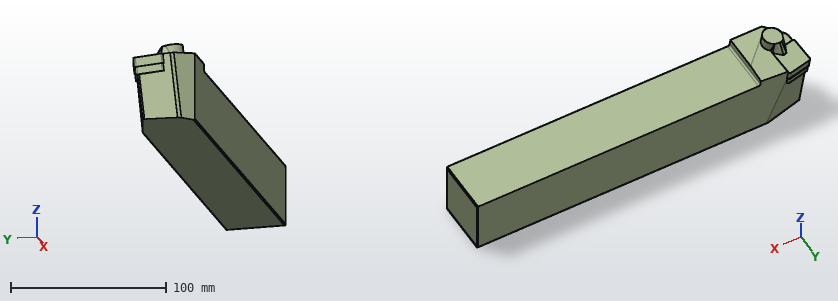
import cadquery as cq
import math

length = 250.0
width = 40.0
shank_height = 40.0
head_height = 45.0
shoulder_top_x = 38.5
shoulder_foot_x = 39.2
shoulder_fillet = 1.5
bottom_chamfer = 0.8
end_chamfer = 0.8

seat_slope = 0.092
seat_line_offset = 12.5
seat_normal = cq.Vector(-seat_slope, seat_slope, 1)
seat_x_axis = cq.Vector(1, 0, seat_slope)

corner_x = -0.08
corner_y = 37.0
insert_circle = 19.05
insert_acute_angle = 80.0
insert_edge_angle = 15.0
insert_thickness = 6.2
insert_nose = 1.2
insert_edge = insert_circle / math.sin(math.radians(insert_acute_angle))

shim_thickness = 5.0
shim_inset = 0.38

west_flank_start = (1.5, -2.2)
bevel_width = 0.5
bevel_height = 1.2
west_flank_length = 21.5
corner_bevel_angle = -66.0
diagonal_x = 15.2

clamp_x = 16.5
clamp_y = 14.5
clamp_radius = 6.8
clamp_height = 7.0
clamp_root = 2.5
finger_foot = [(-6.8, 0), (-6.8, 7.2), (-5.0, 11.5), (-2.2, 12.5), (3.5, 8.0), (3.5, 0)]
finger_top = [(-6.8, 0), (-5.2, 5.2), (-3.2, 6.5), (-1.5, 7.0), (2.0, 6.5), (3.5, 0)]

beyond = 100.0


def seat_z(x, y):
    return head_height - seat_slope * (y - x + seat_line_offset)


def seat_plane(x, y):
    """Workplane in the seat, with its origin above the point (x, y)."""
    return cq.Workplane(cq.Plane((x, y, seat_z(x, y)), seat_x_axis, seat_normal))


def polar(distance, angle):
    return (distance * math.cos(math.radians(angle)), distance * math.sin(math.radians(angle)))


def rhombus(inset, depth):
    """Rhombic plate from the seat down to the given depth, with rounded corners."""
    reach = insert_edge / 2
    first = polar(reach, insert_edge_angle)
    second = polar(reach, insert_edge_angle - 180 + insert_acute_angle)
    center_x = first[0] + second[0]
    center_y = first[1] + second[1]
    scale = 1 - 2 * inset / insert_circle
    corners = []
    for i, j in [(-1, -1), (1, -1), (1, 1), (-1, 1)]:
        x = center_x + scale * (i * first[0] + j * second[0])
        y = center_y + scale * (i * first[1] + j * second[1])
        corners.append((x, y))
    plate = seat_plane(corner_x, corner_y).polyline(corners).close().extrude(-depth)
    return plate.edges(cq.selectors.ParallelDirSelector(seat_normal)).fillet(insert_nose)


def make_block():
    """Shank with its raised head, before the head is shaped."""
    profile = [
        (-seat_line_offset, 0),
        (length, 0),
        (length, shank_height),
        (shoulder_foot_x, shank_height),
        (shoulder_top_x, head_height),
        (-seat_line_offset, head_height),
    ]
    block = cq.Workplane("XZ").polyline(profile).close().extrude(-width)
    shoulder_foot = cq.selectors.NearestToPointSelector((shoulder_foot_x, width / 2, shank_height))
    block = block.edges(shoulder_foot).fillet(shoulder_fillet)
    block = block.faces(">X").edges().chamfer(end_chamfer)
    return block.faces("<Z").edges("|X").chamfer(bottom_chamfer)


def make_head_limits():
    """Leaning prism, square to the seat, that bounds the sides of the head."""
    west = polar(west_flank_length, insert_edge_angle - 180 + insert_acute_angle)
    west_end = (west_flank_start[0] + west[0], west_flank_start[1] + west[1])
    bevel = polar(beyond, corner_bevel_angle)
    bevel_start = (west_flank_start[0] + bevel_width, west_flank_start[1] + bevel_height)
    edge = polar(length + beyond, insert_edge_angle)
    outline = [
        west_flank_start,
        bevel_start,
        (bevel_start[0] + edge[0], bevel_start[1] + edge[1]),
        (length + beyond, west_end[1] + bevel[1]),
        (west_end[0] + bevel[0], west_end[1] + bevel[1]),
        west_end,
    ]
    return seat_plane(corner_x, corner_y).polyline(outline).close().extrude(2 * beyond, both=True)


def make_corner_cut():
    return (
        cq.Workplane("XY")
        .polyline([(diagonal_x + beyond, -beyond), (diagonal_x - beyond, beyond), (-beyond, -beyond)])
        .close()
        .extrude(beyond)
    )


def make_above_seat():
    """Everything above the seat over the head."""
    slab = seat_plane(0, 0).rect(2 * beyond, 2 * beyond).extrude(beyond)
    over_head = cq.Workplane("XY").box(beyond + shoulder_foot_x, beyond, beyond, centered=False)
    return slab.intersect(over_head.translate((-beyond, (width - beyond) / 2, 0)))


def make_clamp():
    seat = seat_plane(clamp_x, clamp_y)
    disc = seat.workplane(offset=-clamp_root).circle(clamp_radius).extrude(clamp_height + clamp_root)
    foot = seat.polyline(finger_foot).close()
    finger = foot.workplane(offset=clamp_height).polyline(finger_top).close().loft(ruled=True)
    return disc.union(finger)


def make_holder(insert):
    shim = rhombus(shim_inset, insert_thickness + shim_thickness)
    body = make_block().intersect(make_head_limits()).cut(make_corner_cut()).cut(make_above_seat())
    return body.union(shim).union(make_clamp()).cut(insert)


insert = rhombus(0, insert_thickness)
holder = make_holder(insert)

result = cq.Compound.makeCompound([holder.val(), insert.val()])